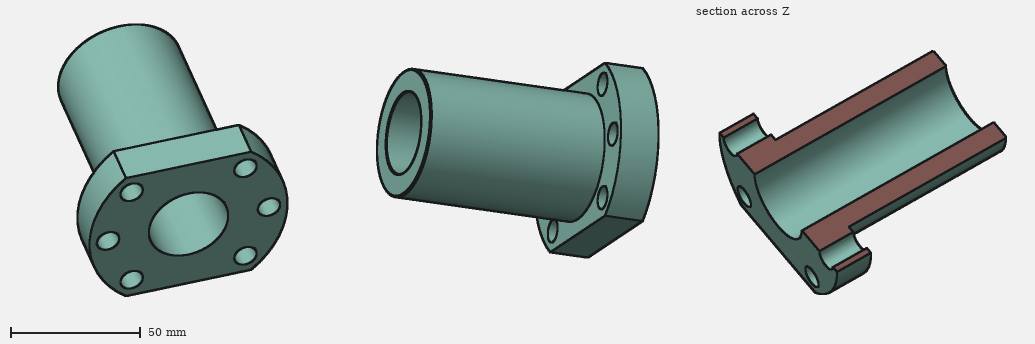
import cadquery as cq

total_length = 90.0
flange_thickness = 16.0
flange_diameter = 80.0
flange_height = 62.0
sleeve_diameter = 50.0
bore_diameter = 32.0
sleeve_chamfer = 0.5
bore_chamfer = 0.4
bolt_hole_diameter = 9.0
bolt_circle_diameter = 65.0
bolt_angles = (-45, 0, 45, 135, 180, 225)

flange_start = total_length - flange_thickness


def make_sleeve():
    """Round sleeve with a chamfered free end, running through the flange."""
    sleeve = cq.Workplane("YZ").circle(sleeve_diameter / 2).extrude(total_length)
    return sleeve.faces("<X").chamfer(sleeve_chamfer)


def make_flange():
    """Round flange with flats cut on its top and bottom."""
    flange = (
        cq.Workplane("YZ", origin=(flange_start, 0, 0))
        .circle(flange_diameter / 2)
        .extrude(flange_thickness)
    )
    flats = cq.Workplane("XY").box(2 * total_length, flange_diameter, flange_height)
    return flange.intersect(flats)


def make_bore():
    """Through bore that widens in a small chamfer at the sleeve's free end."""
    bore_radius = bore_diameter / 2
    bore = cq.Workplane("YZ").circle(bore_radius).extrude(total_length)
    mouth_radius = bore_radius + bore_chamfer
    mouth = cq.Workplane("YZ").circle(mouth_radius).extrude(bore_chamfer, taper=45)
    return bore.union(mouth)


def make_bolt_holes():
    """Two groups of three through holes, one on each side of the flange."""
    bolt_circle_radius = bolt_circle_diameter / 2
    holes = cq.Workplane("YZ", origin=(flange_start, 0, 0))
    for angle in bolt_angles:
        holes = holes.polarArray(bolt_circle_radius, angle, 360, 1, rotate=False)
        holes = holes.circle(bolt_hole_diameter / 2)
    return holes.extrude(flange_thickness)


result = make_sleeve().union(make_flange()).cut(make_bore()).cut(make_bolt_holes())